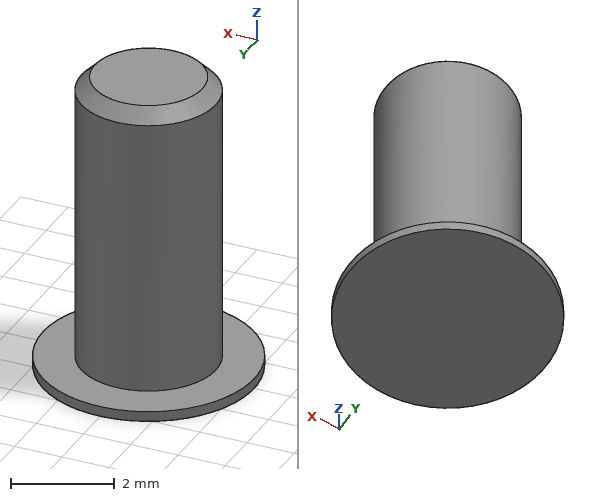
import cadquery as cq

total_height = 6.35
flange_diameter = 4.47
flange_thickness = 0.215
pin_diameter = 2.845
tip_chamfer = 0.285

flange = cq.Workplane("XY").circle(flange_diameter / 2).extrude(flange_thickness)

pin = (
    cq.Workplane("XY")
    .circle(pin_diameter / 2)
    .extrude(total_height)
    .faces(">Z")
    .chamfer(tip_chamfer)
)

result = flange.union(pin)